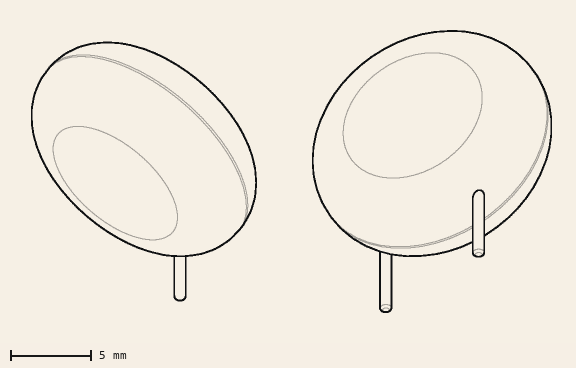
import cadquery as cq

body_diameter = 15.5
body_thickness = 6.3
rim_band_width = 0.16
edge_radius = (body_thickness - rim_band_width) / 2

lead_diameter = 0.72
lead_pitch = 7.5
lead_stagger = 3.0
lead_protrusion = 3.03
lead_tip_radius = 0.15

body_center_z = body_diameter / 2


def make_body():
    """Disc with both rims rounded, its lowest point at Z = 0."""
    disc = (
        cq.Workplane("XZ", origin=(0, body_thickness / 2, body_center_z))
        .circle(body_diameter / 2)
        .extrude(body_thickness)
    )
    return disc.faces("<Y or >Y").edges().fillet(edge_radius)


def make_lead(x, y):
    """Vertical wire from its rounded tip up to the level of the disc centre."""
    return (
        cq.Workplane("XY", origin=(x, y, -lead_protrusion))
        .circle(lead_diameter / 2)
        .extrude(lead_protrusion + body_center_z)
        .faces("<Z")
        .edges()
        .fillet(lead_tip_radius)
    )


result = make_body()
for side in (-1, 1):
    result = result.union(make_lead(side * lead_pitch / 2, -side * lead_stagger / 2))